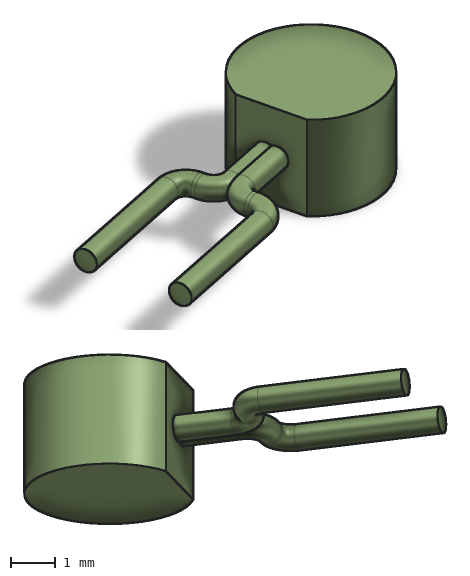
import cadquery as cq
import math

housing_diameter = 3.8
housing_height = 2.6
flat_distance = 1.65

wire_diameter = 0.6
pin_pitch = 2.5
root_spacing = 0.3
bend_radius = 0.5
root_length = 1.37
pin_length = 3.38

housing_radius = housing_diameter / 2
wire_radius = wire_diameter / 2
mid_height = housing_height / 2
lead_reach = root_length + 2 * bend_radius + pin_length


def make_housing():
    flat_half_width = math.sqrt(housing_radius**2 - flat_distance**2)
    return (
        cq.Workplane("XY")
        .moveTo(-flat_half_width, -flat_distance)
        .threePointArc((0, housing_radius), (flat_half_width, -flat_distance))
        .close()
        .extrude(housing_height)
    )


def lead_centreline(side):
    """S-shaped path from the flat to the pin tip; side is -1 for -X or +1 for +X."""
    root_x = root_spacing / 2
    pin_x = pin_pitch / 2
    first_bend_y = -flat_distance - root_length
    cross_y = first_bend_y - bend_radius
    second_bend_y = cross_y - bend_radius
    tip_y = second_bend_y - pin_length
    return (
        cq.Workplane("XY", origin=(0, 0, mid_height))
        .moveTo(side * root_x, -flat_distance)
        .lineTo(side * root_x, first_bend_y)
        .tangentArcPoint((side * (root_x + bend_radius), cross_y), relative=False)
        .lineTo(side * (pin_x - bend_radius), cross_y)
        .tangentArcPoint((side * pin_x, second_bend_y), relative=False)
        .lineTo(side * pin_x, tip_y)
    )


def make_lead(side):
    """One bent wire, trimmed at the YZ plane where it meets its mirrored twin."""
    wire = (
        cq.Workplane("XZ", origin=(side * root_spacing / 2, -flat_distance, mid_height))
        .circle(wire_radius)
        .sweep(lead_centreline(side))
    )
    trim_width = pin_pitch / 2 + wire_diameter
    own_side = cq.Workplane("XY").box(trim_width, lead_reach, housing_height, centered=(True, True, False))
    own_side = own_side.translate((side * trim_width / 2, -flat_distance - lead_reach / 2, 0))
    return wire.intersect(own_side).solids()


housing = make_housing()
leads = [make_lead(side) for side in (-1, 1)]

result = cq.Compound.makeCompound([housing.val(), *[lead.val() for lead in leads]])